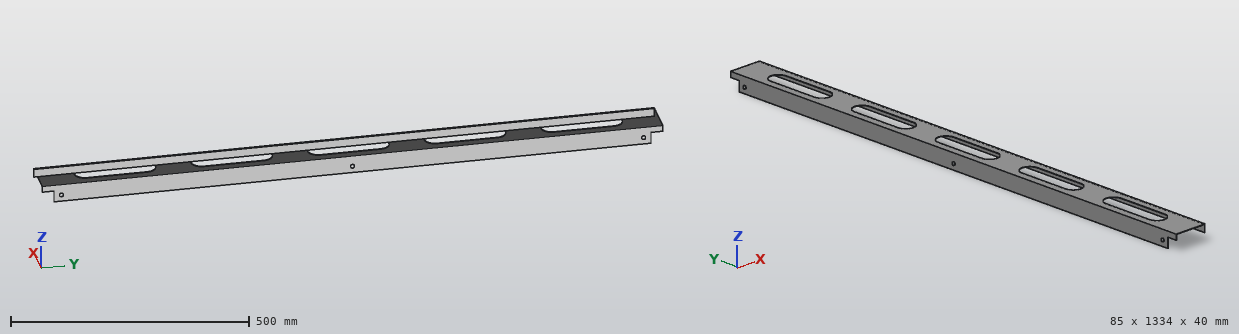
import cadquery as cq

length = 1334.0
width = 85.0
height = 40.0
thickness = 2.0
short_flange_height = 20.0

slot_count = 5
slot_pitch = 251.0
slot_length = 175.0
slot_width = 45.0

notch_length = 25.0
tab_height = 15.0
hole_diameter = 8.5
hole_end_distance = 41.0
hole_height = 15.0


def channel():
    """Extrude the channel section along Y, centred on the XZ plane, with its base at Z = 0."""
    section = [
        (-width / 2, 0),
        (-width / 2, height),
        (width / 2, height),
        (width / 2, height - short_flange_height),
        (width / 2 - thickness, height - short_flange_height),
        (width / 2 - thickness, height - thickness),
        (-width / 2 + thickness, height - thickness),
        (-width / 2 + thickness, 0),
    ]
    return cq.Workplane("XZ").polyline(section).close().extrude(length / 2, both=True)


def web_slots():
    """A row of rounded slots along the middle of the web."""
    return (
        cq.Workplane("XY", origin=(0, 0, height - thickness))
        .rarray(13, slot_pitch, 1, slot_count)
        .slot2D(slot_length, slot_width, 90)
        .extrude(thickness)
    )


def end_notches():
    """Cut the lower corners of the tall flange, leaving a short tab at each end."""
    return (
        cq.Workplane("XY", origin=(-width / 2 + thickness / 2, 0, 0))
        .rarray(13, length - notch_length, 1, 2)
        .rect(thickness, notch_length)
        .extrude(height - tab_height)
    )


def flange_holes():
    """Holes through the tall flange at its middle and near both ends."""
    end_hole_y = length / 2 - hole_end_distance
    return (
        cq.Workplane("YZ", origin=(-width / 2, 0, 0))
        .pushPoints([(y, hole_height) for y in (-end_hole_y, 0, end_hole_y)])
        .circle(hole_diameter / 2)
        .extrude(thickness)
    )


result = channel().cut(web_slots()).cut(end_notches()).cut(flange_holes())